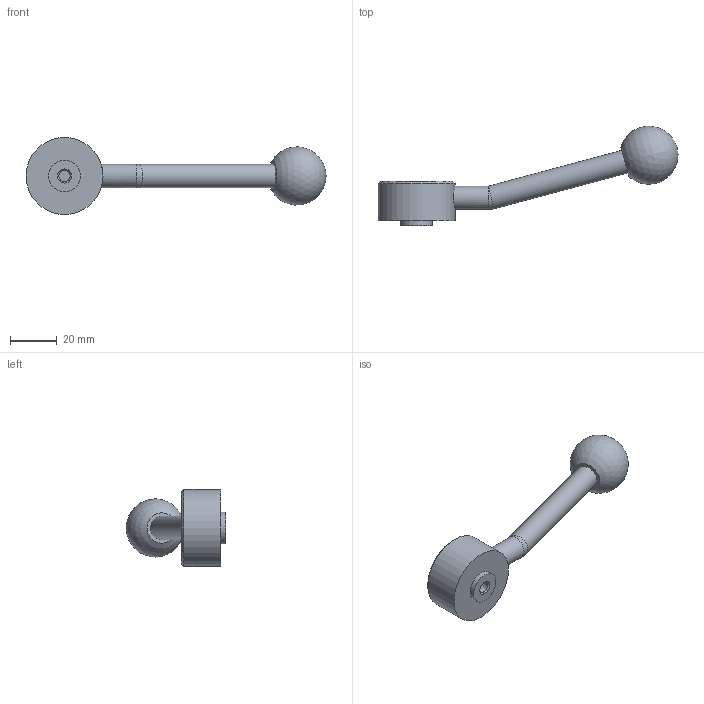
import cadquery as cq
import math

hub_diameter = 33.0
hub_thickness = 16.85
hub_back_chamfer = 1.0

boss_diameter = 13.5
boss_height = 2.15
hole_diameter = 4.92
hole_mouth_diameter = 6.0
hole_depth = 12.0

rod_diameter = 10.0
rod_axis_y = 9.8
bend_angle = 15.0
bend_inner_radius = 0.05

ball_diameter = 25.0
ball_flat_diameter = 13.0

overall_length = 128.55
overall_depth = 42.7

rod_radius = rod_diameter / 2
ball_radius = ball_diameter / 2
ball_x = overall_length - hub_diameter / 2 - ball_radius
ball_y = overall_depth - boss_height - ball_radius
ball_flat_offset = math.sqrt(ball_radius**2 - (ball_flat_diameter / 2) ** 2)

bend_radius = rod_radius + bend_inner_radius
bend_cos = math.cos(math.radians(bend_angle))
bend_sin = math.sin(math.radians(bend_angle))
bend_end_y = rod_axis_y + bend_radius * (1 - bend_cos)
arm_length = (ball_y - bend_end_y) / bend_sin
bend_end_x = ball_x - arm_length * bend_cos
straight_end_x = bend_end_x - bend_radius * bend_sin
arm_direction = cq.Vector(bend_cos, bend_sin, 0)
y_direction = cq.Vector(0, 1, 0)


def disc_along_y(diameter, start_y, length):
    """Cylinder around the Y axis, running from start_y toward +Y."""
    start = cq.Vector(0, start_y, 0)
    return cq.Workplane(cq.Solid.makeCylinder(diameter / 2, length, start, y_direction))


def make_hub():
    """Hub disc with its chamfered back edge and the boss on its front."""
    disc = disc_along_y(hub_diameter, 0, hub_thickness)
    disc = disc.faces(">Y").chamfer(hub_back_chamfer)
    return disc.union(disc_along_y(boss_diameter, -boss_height, boss_height))


def make_rod():
    """Straight length from the hub's center, tight bend, and arm up to the ball's center."""
    straight = cq.Workplane("YZ").center(rod_axis_y, 0).circle(rod_radius).extrude(straight_end_x)
    bend = (
        cq.Workplane("YZ", origin=(straight_end_x, rod_axis_y, 0))
        .circle(rod_radius)
        .revolve(bend_angle, (bend_radius, 0, 0), (bend_radius, 1, 0))
    )
    arm_start = cq.Vector(bend_end_x, bend_end_y, 0)
    arm = cq.Workplane(cq.Solid.makeCylinder(rod_radius, arm_length, arm_start, arm_direction))
    return straight.union(bend).union(arm)


def make_ball():
    """Ball cut off by a flat square to the arm."""
    center_plane = cq.Plane(origin=(ball_x, ball_y, 0), xDir=(0, 0, 1), normal=arm_direction)
    ball = cq.Workplane(center_plane).sphere(ball_radius)
    kept_side = (
        cq.Workplane(center_plane)
        .workplane(offset=-ball_flat_offset)
        .circle(ball_diameter)
        .extrude(2 * ball_diameter)
    )
    return ball.intersect(kept_side)


def make_hole():
    """Blind bore from the boss face, with a 45 degree chamfer at its mouth."""
    bore = disc_along_y(hole_diameter, -boss_height, hole_depth)
    mouth_depth = (hole_mouth_diameter - hole_diameter) / 2
    mouth_start = cq.Vector(0, -boss_height, 0)
    mouth = cq.Solid.makeCone(
        hole_mouth_diameter / 2, hole_diameter / 2, mouth_depth, mouth_start, y_direction
    )
    return bore.union(cq.Workplane(mouth))


result = make_hub().union(make_rod()).union(make_ball()).cut(make_hole())